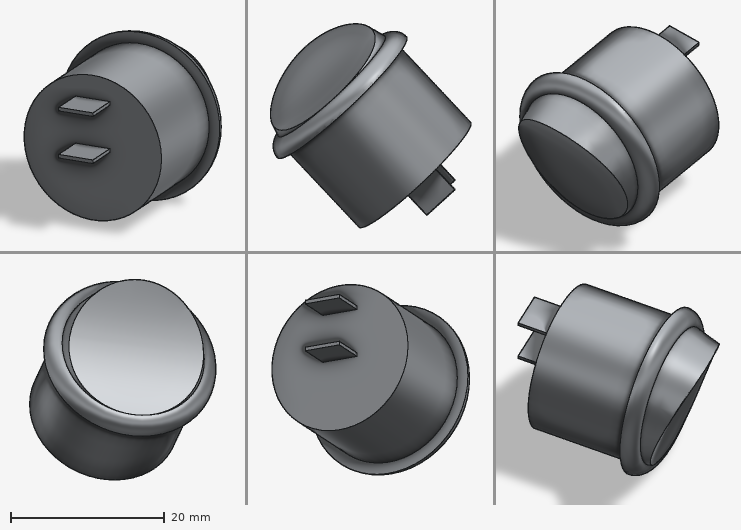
import cadquery as cq
import math

body_diameter = 20.0
body_length = 14.0
flange_diameter = 23.1
flange_thickness = 2.0
terminal_length = 5.0
terminal_width = 5.0
terminal_thickness = 0.5
terminal_spacing = 6.5
overall_length = 26.0
rocker_tip_radius = 8.03
rocker_mid_depth = 3.45
rocker_mid_z = -1.15

flange_radius = flange_diameter / 2
flange_face_radius = flange_radius - flange_thickness
rocker_height = overall_length - terminal_length - body_length - flange_thickness
tip_y = flange_thickness + rocker_height


def make_body():
    """Cylindrical barrel behind the flange."""
    return cq.Workplane("XZ").circle(body_diameter / 2).extrude(body_length)


def make_flange():
    """Bezel whose front rim is a quarter round as deep as the bezel."""
    rim_mid_offset = flange_thickness * math.sin(math.radians(45))
    return (
        cq.Workplane("XY")
        .lineTo(flange_radius, 0)
        .threePointArc(
            (flange_face_radius + rim_mid_offset, rim_mid_offset),
            (flange_face_radius, flange_thickness),
        )
        .lineTo(0, flange_thickness)
        .close()
        .revolve(360, (0, 0, 0), (0, 1, 0))
    )


def make_rocker():
    """Tapered button trimmed by a concave sweep from its raised tip down to the flange."""
    cone = (
        cq.Workplane("XY")
        .lineTo(flange_face_radius, 0)
        .lineTo(flange_face_radius, flange_thickness)
        .lineTo(rocker_tip_radius, tip_y)
        .lineTo(0, tip_y)
        .close()
        .revolve(360, (0, 0, 0), (0, 1, 0))
    )
    side_profile = (
        cq.Workplane("YZ")
        .moveTo(0, -flange_face_radius)
        .lineTo(flange_thickness, -flange_face_radius)
        .threePointArc((tip_y - rocker_mid_depth, rocker_mid_z), (tip_y, rocker_tip_radius))
        .lineTo(tip_y, flange_radius)
        .lineTo(0, flange_radius)
        .close()
        .extrude(flange_radius, both=True)
    )
    return cone.intersect(side_profile)


def make_terminal(height):
    """Flat blade projecting from the back of the barrel, centred at the given Z."""
    return (
        cq.Workplane("XZ", origin=(0, -body_length, height))
        .rect(terminal_width, terminal_thickness)
        .extrude(terminal_length)
    )


result = make_body().union(make_flange()).union(make_rocker())
for terminal_height in (0, terminal_spacing):
    result = result.union(make_terminal(terminal_height))